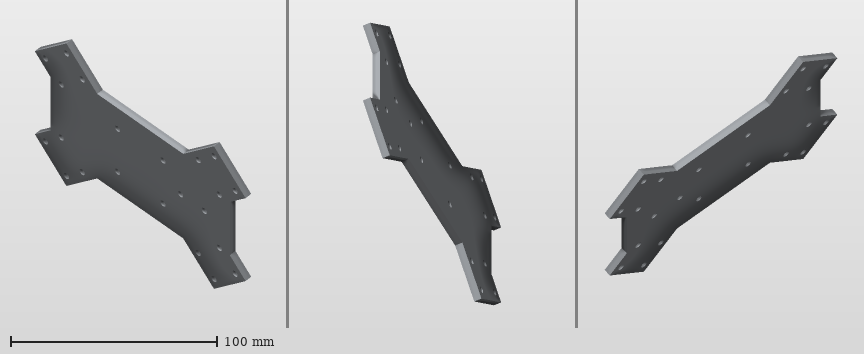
import cadquery as cq

length = 141.2
height = 101.2
thickness = 4.0

body_length = 120.0
body_height = 60.0

arm_end_offset = 21.2
hole_inset = 7.0
hole_row_offset = 10.6

hole_diameter = 3.5
center_hole_spacing = 30.5
side_hole_inner_x = 27.0
side_hole_spacing = 16.0

half_length = length / 2
half_height = height / 2
top_tip_x = half_length - arm_end_offset
side_tip_z = half_height - arm_end_offset
side_notch_z = side_tip_z - (half_length - body_length / 2)
top_notch_x = top_tip_x - (half_height - body_height / 2)

quarter = [
    (body_length / 2, side_notch_z),
    (half_length, side_tip_z),
    (top_tip_x, half_height),
    (top_notch_x, body_height / 2),
]


def mirrored(points, sign_x, sign_z):
    return [(sign_x * x, sign_z * z) for x, z in points]


def make_plate():
    outline = (
        quarter
        + mirrored(quarter[::-1], -1, 1)
        + mirrored(quarter, -1, -1)
        + mirrored(quarter[::-1], 1, -1)
    )
    return cq.Workplane("XZ").polyline(outline).close().extrude(thickness / 2, both=True)


def hole_centers():
    outer_row = [
        (top_tip_x, half_height - hole_inset),
        (half_length - hole_inset, side_tip_z),
    ]
    inner_row = [(x - hole_row_offset, z - hole_row_offset) for x, z in outer_row]
    center_hole = (center_hole_spacing / 2, center_hole_spacing / 2)
    quarter_holes = outer_row + inner_row + [center_hole]

    centers = []
    for sign_x in (1, -1):
        for sign_z in (1, -1):
            centers += mirrored(quarter_holes, sign_x, sign_z)

    centers += [(side_hole_inner_x, 0), (side_hole_inner_x + side_hole_spacing, 0)]
    return centers


def make_hole_cutters():
    return (
        cq.Workplane("XZ")
        .pushPoints(hole_centers())
        .circle(hole_diameter / 2)
        .extrude(thickness, both=True)
    )


result = make_plate().cut(make_hole_cutters())